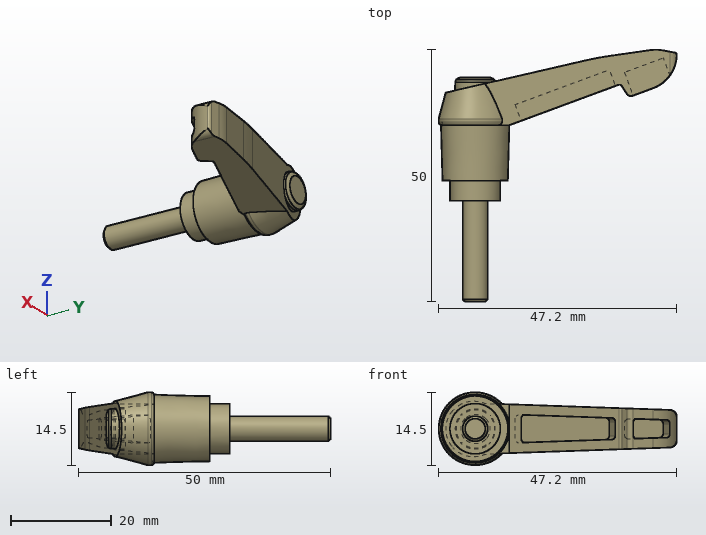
import cadquery as cq
import math


stud_radius = 2.5
stud_length = 20.0
stud_chamfer = 0.5
collar_radius = 5.0
collar_height = 4.0
sleeve_end_radius = 6.5
sleeve_top_radius = 6.8
sleeve_height = 11.0
hub_base = collar_height + sleeve_height

hub_radius = 7.25
rim_rounding = 0.65
rim_band = 0.65
hub_half_angle = math.radians(15.0)

button_radius = 4.0
button_top = 24.5
button_face_radius = 2.9
button_crown_depth = 0.45
button_crown_bulge = 0.06
button_rim_radius = 3.8
button_shoulder_depth = 0.93

arm_reach = 40.0
arm_top = 30.0
back_axis_height = 22.82
back_slope = math.tan(math.radians(13.0))
grip_back_slope = 0.143
tip_back_slope = -0.19
back_bend_x = 24.3
crest_x = 36.0
belly_angle = math.radians(20.3)
belly_start_x = 6.8
notch_x = 28.8
notch_slope = 1.52
heel_x = 30.5
arm_half_width = 5.1
arm_taper = math.radians(2.0)

corner_search = 0.2
back_bend_reach = 2.4
crest_rounding = 8.0
tip_top_rounding = 0.6
tip_belly_rounding = 7.3
notch_rounding = 0.5
heel_rounding = 1.0
tip_side_rounding = 1.5

pocket_wall = 2.0
pocket_rounding = 0.8
arm_pocket_start_x = 9.1
arm_pocket_end_x = 27.8
arm_pocket_depth = 3.5
grip_pocket_start_x = 31.3
grip_pocket_end_x = 39.0
grip_pocket_depth = 5.0

belly_slope = math.tan(belly_angle)
belly_start = (belly_start_x, hub_base)
notch = (notch_x, hub_base + belly_slope * (notch_x - belly_start_x))
heel = (heel_x, notch[1] - notch_slope * (heel_x - notch_x))
tip_belly = (arm_reach, heel[1] + belly_slope * (arm_reach - heel_x))
back_bend = (back_bend_x, back_axis_height + back_slope * back_bend_x)
crest = (crest_x, back_bend[1] + grip_back_slope * (crest_x - back_bend_x))
tip_top = (arm_reach, crest[1] + tip_back_slope * (arm_reach - crest_x))


def half_width(x):
    return arm_half_width - x * math.tan(arm_taper)


def make_spindle():
    """Stud, collar, sleeve and hub, turned about Y; the hub runs up past its sloping cut."""
    rim_base_radius = hub_radius - rim_rounding
    cone_base = hub_base + rim_rounding + rim_band
    cone_top_radius = hub_radius - (arm_top - cone_base) * math.tan(hub_half_angle)
    rim_center_y = hub_base + rim_rounding
    arc_offset = rim_rounding * math.sqrt(0.5)
    return (
        cq.Workplane("XY")
        .moveTo(0, -stud_length)
        .lineTo(stud_radius - stud_chamfer, -stud_length)
        .lineTo(stud_radius, -stud_length + stud_chamfer)
        .lineTo(stud_radius, 0)
        .lineTo(collar_radius, 0)
        .lineTo(collar_radius, collar_height)
        .lineTo(sleeve_end_radius, collar_height)
        .lineTo(sleeve_top_radius, hub_base)
        .lineTo(rim_base_radius, hub_base)
        .threePointArc(
            (rim_base_radius + arc_offset, rim_center_y - arc_offset),
            (hub_radius, rim_center_y),
        )
        .lineTo(hub_radius, cone_base)
        .lineTo(cone_top_radius, arm_top)
        .lineTo(0, arm_top)
        .close()
        .revolve(360, (0, 0, 0), (0, 1, 0))
    )


def make_back_cutter():
    """Everything above the sloping back plane, over the hub."""
    span = 2 * hub_radius
    low = back_axis_height - back_slope * span
    high = back_axis_height + back_slope * span
    return (
        cq.Workplane("XY")
        .polyline([(-span, low), (span, high), (span, 2 * arm_top), (-span, 2 * arm_top)])
        .close()
        .extrude(span, both=True)
    )


def make_button():
    """Cylinder topped by a steep band, a domed crown and a small flat face."""
    rim_y = button_top - button_crown_depth
    crown_middle = (
        (button_face_radius + button_rim_radius) / 2,
        (button_top + rim_y) / 2 + button_crown_bulge,
    )
    return (
        cq.Workplane("XY")
        .moveTo(0, hub_base)
        .lineTo(button_radius, hub_base)
        .lineTo(button_radius, button_top - button_shoulder_depth)
        .lineTo(button_rim_radius, rim_y)
        .threePointArc(crown_middle, (button_face_radius, button_top))
        .lineTo(0, button_top)
        .close()
        .revolve(360, (0, 0, 0), (0, 1, 0))
    )


def round_corner(body, corner, radius):
    """Round the Z-parallel edge that passes through an outline corner."""
    selector = cq.selectors.BoxSelector(
        (corner[0] - corner_search, corner[1] - corner_search, -arm_half_width),
        (corner[0] + corner_search, corner[1] + corner_search, arm_half_width),
    )
    return body.edges(selector).edges("|Z").fillet(radius)


def make_arm():
    """Side outline of the arm, trimmed by a tapered plan with a rounded tip."""
    bend_start = (back_bend_x - back_bend_reach, back_bend[1] - back_slope * back_bend_reach)
    bend_end = (back_bend_x + back_bend_reach, back_bend[1] + grip_back_slope * back_bend_reach)
    arm = (
        cq.Workplane("XY")
        .workplane(offset=-arm_half_width)
        .polyline([(0, back_axis_height), (0, hub_base), belly_start, notch, heel, tip_belly, tip_top,
                   crest, bend_end])
        .tangentArcPoint(bend_start, relative=False)
        .close()
        .extrude(2 * arm_half_width)
    )
    for corner, radius in [
        (crest, crest_rounding),
        (tip_belly, tip_belly_rounding),
        (tip_top, tip_top_rounding),
        (notch, notch_rounding),
        (heel, heel_rounding),
    ]:
        arm = round_corner(arm, corner, radius)

    tip_half_width = half_width(arm_reach)
    plan = (
        cq.Workplane("XZ")
        .polyline([
            (0, -arm_half_width),
            (arm_reach, -tip_half_width),
            (arm_reach, tip_half_width),
            (0, arm_half_width),
        ])
        .close()
        .extrude(-2 * arm_top)
        .edges("|Y and >X")
        .fillet(tip_side_rounding)
    )
    return arm.intersect(plan)


def make_pocket(face_point, start_x, end_x, depth):
    """Tapered pocket with rounded corners, square to the belly face through face_point."""
    opening_rise = belly_slope * (start_x - face_point[0])
    belly_plane = cq.Plane(
        origin=(start_x, face_point[1] + opening_rise, 0),
        xDir=(math.cos(belly_angle), math.sin(belly_angle), 0),
        normal=(-math.sin(belly_angle), math.cos(belly_angle), 0),
    )
    length = (end_x - start_x) / math.cos(belly_angle)
    start_half = half_width(start_x) - pocket_wall
    end_half = half_width(end_x) - pocket_wall
    return (
        cq.Workplane(belly_plane)
        .polyline([(0, -start_half), (length, -end_half), (length, end_half), (0, start_half)])
        .close()
        .extrude(depth)
        .edges(cq.selectors.ParallelDirSelector(belly_plane.zDir))
        .fillet(pocket_rounding)
    )


arm_pocket = make_pocket(notch, arm_pocket_start_x, arm_pocket_end_x, arm_pocket_depth)
grip_pocket = make_pocket(heel, grip_pocket_start_x, grip_pocket_end_x, grip_pocket_depth)
arm = make_arm().cut(arm_pocket).cut(grip_pocket)

result = make_spindle().cut(make_back_cutter()).union(arm).union(make_button())